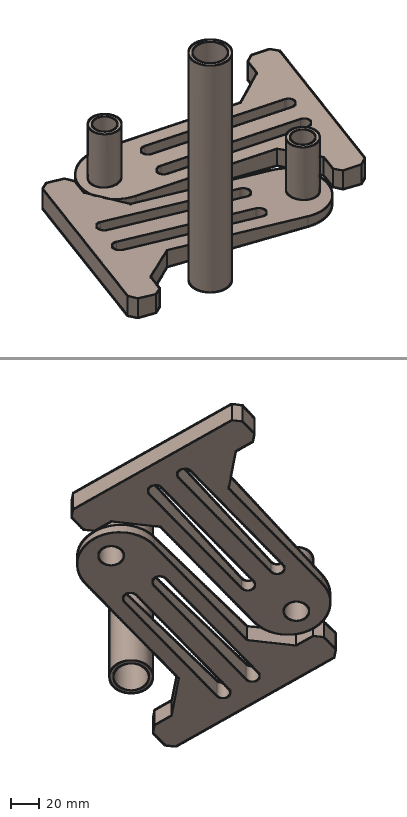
import cadquery as cq

total_width = 224.0
total_depth = 220.6

bracket_length = 190.0
foot_width = 150.0
foot_depth = 25.0
foot_chamfer = 5.4
arm_width = 60.0
gusset_size = 24.6
foot_thickness = 17.7
tip_thickness = 7.6

slot_width = 10.5
slot_length = 119.5
slot_spacing = 25.8
slot_start = 15.5

peg_diameter = 24.0
peg_bore = 18.0
peg_height = 55.3
peg_from_tip = 20.0

tube_diameter = 31.0
tube_bore = 25.0
tube_height = 200.0
tube_y = 71.0
tube_from_right_side = 19.0


def bracket_blank():
    """Plan outline, foot edge on Y = 0 and arm along +Y, up to the foot thickness."""
    arm_half = arm_width / 2
    gusset_half = arm_half + gusset_size
    arm_arc_start = bracket_length - arm_half
    foot = (
        cq.Workplane("XY")
        .rect(foot_width, foot_depth)
        .extrude(foot_thickness)
        .edges("|Z")
        .chamfer(foot_chamfer)
        .translate((0, foot_depth / 2, 0))
    )
    arm = (
        cq.Workplane("XY")
        .moveTo(-gusset_half, 0)
        .lineTo(gusset_half, 0)
        .lineTo(gusset_half, foot_depth)
        .lineTo(arm_half, foot_depth + gusset_size)
        .lineTo(arm_half, arm_arc_start)
        .threePointArc((0, bracket_length), (-arm_half, arm_arc_start))
        .lineTo(-arm_half, foot_depth + gusset_size)
        .lineTo(-gusset_half, foot_depth)
        .close()
        .extrude(foot_thickness)
    )
    return foot.union(arm).clean()


def taper_envelope():
    """Side profile that thins evenly from the foot edge to the arm tip."""
    return (
        cq.Workplane("YZ")
        .polyline([(0, 0), (bracket_length, 0), (bracket_length, tip_thickness), (0, foot_thickness)])
        .close()
        .extrude(foot_width / 2, both=True)
    )


def slots():
    """Cutter for the two parallel slots."""
    middle = slot_start + slot_length / 2
    return (
        cq.Workplane("XY")
        .pushPoints([(-slot_spacing / 2, middle), (slot_spacing / 2, middle)])
        .slot2D(slot_length, slot_width, 90)
        .extrude(foot_thickness)
    )


def make_bracket():
    """Tapered, slotted plate with its integral peg, bored right through."""
    peg_y = bracket_length - peg_from_tip
    peg_base = cq.Workplane("XY").center(0, peg_y)
    peg = peg_base.circle(peg_diameter / 2).extrude(peg_height)
    bore = peg_base.circle(peg_bore / 2).extrude(peg_height)
    return bracket_blank().intersect(taper_envelope()).cut(slots()).union(peg).cut(bore)


def make_tube():
    return (
        cq.Workplane("XY")
        .center(total_width - tube_from_right_side, tube_y)
        .circle(tube_diameter / 2)
        .circle(tube_bore / 2)
        .extrude(tube_height)
    )


bracket_places = [
    (total_width - foot_width / 2, 0, 0),
    (foot_width / 2, total_depth, 180),
]
brackets = []
for foot_x, foot_y, turn in bracket_places:
    placed = make_bracket().rotate((0, 0, 0), (0, 0, 1), turn).translate((foot_x, foot_y, 0))
    brackets.append(placed.solids().val())

tube = make_tube()

result = cq.Compound.makeCompound([*brackets, tube.val()])